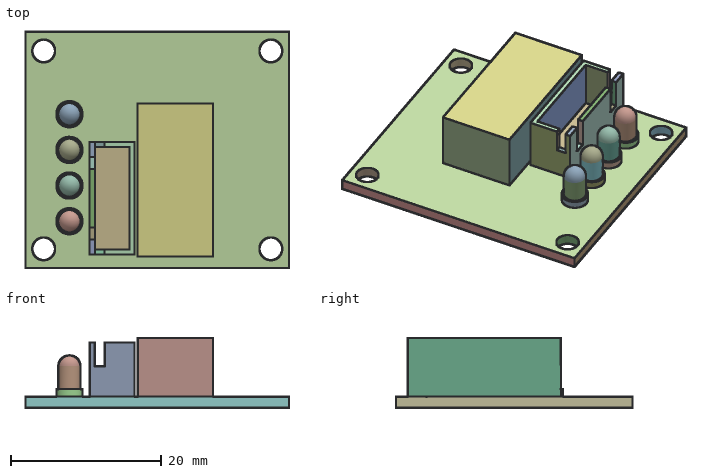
import cadquery as cq

BOARD_X = 35.1
BOARD_Y = 31.5
BOARD_THICKNESS = 1.5
BOARD_LEFT = -BOARD_X / 2
BOARD_FRONT = -BOARD_Y / 2

HOLE_DIAMETER = 3.0
HOLE_SPACING_X = 30.25
HOLE_SPACING_Y = 26.35

LED_COUNT = 4
LED_PITCH = 4.75
LED_X = BOARD_LEFT + 5.85
LED_FIRST_Y = BOARD_FRONT + 6.25
LED_RIM_DIAMETER = 3.5
LED_RIM_HEIGHT = 1.0
LED_BODY_DIAMETER = 3.0
LED_DOME_START = 4.0

RELAY_X = 10.05
RELAY_Y = 20.4
RELAY_HEIGHT = 7.8
RELAY_LEFT = BOARD_LEFT + 14.95
RELAY_FRONT = BOARD_FRONT + 1.55

HEADER_X = 6.0
HEADER_Y = 15.0
HEADER_HEIGHT = 7.2
HEADER_WALL = 0.7
HEADER_LEFT = BOARD_LEFT + 8.55
HEADER_FRONT = BOARD_FRONT + 1.8
KEY_SLOT_WIDTH = 1.6
KEY_SLOT_DEPTH = 4.0
KEY_SLOT_INSET = 2.0
END_NOTCH_WIDTH = 1.3
END_NOTCH_DEPTH = 3.15


def block(x, y, z, size_x, size_y, size_z):
    """Box with its minimum corner at (x, y, z)."""
    return cq.Workplane("XY").box(size_x, size_y, size_z, centered=False).translate((x, y, z))


def make_board():
    """Rectangular board with four corner mounting holes."""
    board = block(BOARD_LEFT, BOARD_FRONT, 0, BOARD_X, BOARD_Y, BOARD_THICKNESS)
    holes = (
        cq.Workplane("XY")
        .rarray(HOLE_SPACING_X, HOLE_SPACING_Y, 2, 2)
        .circle(HOLE_DIAMETER / 2)
        .extrude(BOARD_THICKNESS)
    )
    return board.cut(holes)


def make_led(x, y):
    """Revolved LED: wide rim, cylindrical body and hemispherical dome."""
    rim_radius = LED_RIM_DIAMETER / 2
    body_radius = LED_BODY_DIAMETER / 2
    led = (
        cq.Workplane("XZ")
        .lineTo(rim_radius, 0)
        .lineTo(rim_radius, LED_RIM_HEIGHT)
        .lineTo(body_radius, LED_RIM_HEIGHT)
        .lineTo(body_radius, LED_DOME_START)
        .radiusArc((0, LED_DOME_START + body_radius), -body_radius)
        .close()
        .revolve(360, (0, 0, 0), (0, 1, 0))
    )
    return led.translate((x, y, BOARD_THICKNESS))


def make_relay():
    """Plain rectangular relay housing."""
    return block(RELAY_LEFT, RELAY_FRONT, BOARD_THICKNESS, RELAY_X, RELAY_Y, RELAY_HEIGHT)


def make_header():
    """Box header, hollow from the top, with slotted -X wall and notched ends."""
    top = BOARD_THICKNESS + HEADER_HEIGHT
    header = block(HEADER_LEFT, HEADER_FRONT, BOARD_THICKNESS, HEADER_X, HEADER_Y, HEADER_HEIGHT)
    cavity = block(
        HEADER_LEFT + HEADER_WALL,
        HEADER_FRONT + HEADER_WALL,
        BOARD_THICKNESS + HEADER_WALL,
        HEADER_X - 2 * HEADER_WALL,
        HEADER_Y - 2 * HEADER_WALL,
        HEADER_HEIGHT - HEADER_WALL,
    )
    end_notches = block(
        HEADER_LEFT + HEADER_WALL,
        HEADER_FRONT,
        top - END_NOTCH_DEPTH,
        END_NOTCH_WIDTH,
        HEADER_Y,
        END_NOTCH_DEPTH,
    )
    header = header.cut(cavity).cut(end_notches)
    for offset in (KEY_SLOT_INSET, HEADER_Y - KEY_SLOT_INSET - KEY_SLOT_WIDTH):
        key_slot = block(
            HEADER_LEFT,
            HEADER_FRONT + offset,
            top - KEY_SLOT_DEPTH,
            HEADER_WALL,
            KEY_SLOT_WIDTH,
            KEY_SLOT_DEPTH,
        )
        header = header.cut(key_slot)
    return header


result = make_board().union(make_relay()).union(make_header())
for index in range(LED_COUNT):
    result = result.union(make_led(LED_X, LED_FIRST_Y + index * LED_PITCH))